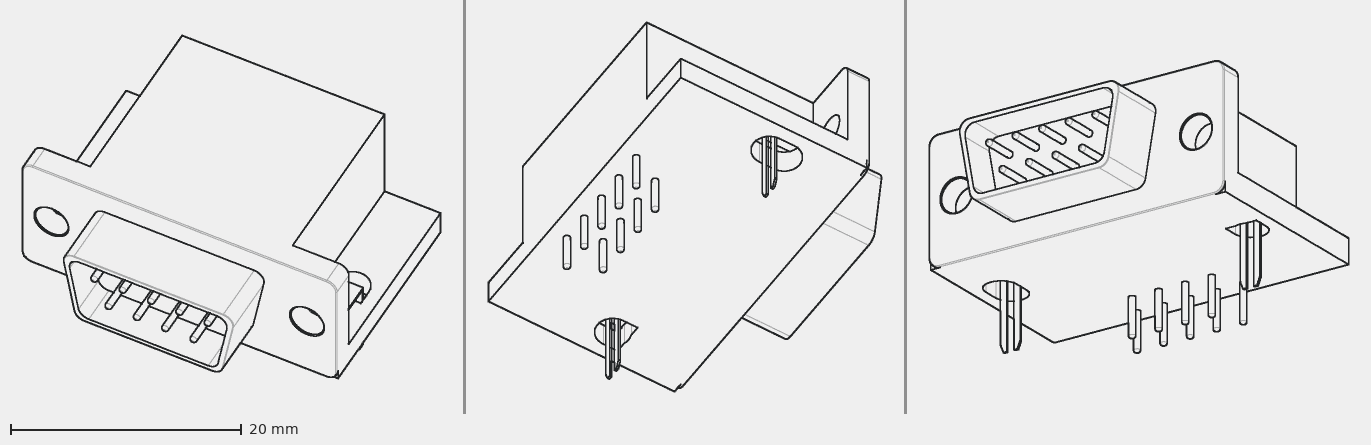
import cadquery as cq
import math

WIDTH = 30.75
HEIGHT = 12.5
DEPTH = 19.5
CENTER_Z = HEIGHT / 2

PLATE_THICKNESS = 0.3
FLANGE_DEPTH = 2.3
FLANGE_CORNER_RADIUS = 1.0
PLATE_EDGE_FILLET = 0.1
SCREW_SPACING = 25.0
SCREW_HOLE_DIAMETER = 3.2
SCREW_HOLE_CHAMFER = 0.1
SCREW_HOLE_CHAMFER_ANGLE = 45.0

BLOCK_WIDTH = 19.8
SHELF_HEIGHT = 2.5

SHELL_LENGTH = 5.8
SHELL_WIDTH = 16.6
SHELL_HEIGHT = 7.9
SHELL_SIDE_ANGLE = 10.0
SHELL_CORNER_RADIUS = 1.0
SHELL_WALL = 0.5
SHELL_RIM_FILLET = 0.05
INSULATOR_FACE_Y = -2.05

CONTACT_DIAMETER = 0.64
CONTACT_TIP_FILLET = 0.25
CONTACT_PITCH = 2.77
ROW_SPACING = 2.84
UPPER_ROW_COUNT = 5
LOWER_ROW_COUNT = 4
CONTACT_FRONT_Y = -5.5
TAIL_TIP_Z = -3.9
UPPER_ROW_TAIL_Y = 17.75
LOWER_ROW_TAIL_Y = UPPER_ROW_TAIL_Y - ROW_SPACING
CONTACT_EMBEDMENT = 1.0

STRAP_WIDTH = 2.05
STRAP_THICKNESS = 0.2
STRAP_FRONT_Y = 2.4
STRAP_REAR_Y = 8.6
STRAP_TOP_Z = 4.6
STRAP_BEND_RADIUS = 0.1
LEG_TIP_Z = -5.4
LEG_GAP = 0.75
LEG_TAPER_HEIGHT = 0.75
LEG_TAPER_WIDTH = 0.3
SLOT_WIDTH = 3.2
SLOT_REAR_CENTER_Y = 8.5
SLOT_FRONT_CENTER_Y = 7.0


def box_between(x_range, y_range, z_range):
    """Axis-aligned box spanning the given coordinate ranges."""
    size = [high - low for low, high in (x_range, y_range, z_range)]
    corner = (x_range[0], y_range[0], z_range[0])
    return cq.Workplane("XY").box(*size, centered=False).translate(corner)


def front_plane(y):
    """Sketch plane facing -Y, centred on the connector axis; extrusion runs toward -Y."""
    return cq.Workplane("XZ", origin=(0, y, CENTER_Z))


def make_housing():
    """Moulded block with a low shelf on both sides and a full-height flange at the front."""
    half_width = WIDTH / 2
    half_block = BLOCK_WIDTH / 2
    flange = box_between((-half_width, half_width), (PLATE_THICKNESS, FLANGE_DEPTH), (0, HEIGHT))
    flange = flange.edges("|Y and >Z").fillet(FLANGE_CORNER_RADIUS)
    shelf = box_between((-half_width, half_width), (PLATE_THICKNESS, DEPTH), (0, SHELF_HEIGHT))
    block = box_between((-half_block, half_block), (PLATE_THICKNESS, DEPTH), (0, HEIGHT))
    return flange.union(shelf).union(block)


def make_plate():
    """Front plate with four rounded corners and a softened front edge."""
    plate = front_plane(PLATE_THICKNESS).rect(WIDTH, HEIGHT).extrude(PLATE_THICKNESS)
    plate = plate.edges("|Y").fillet(FLANGE_CORNER_RADIUS)
    return plate.faces("<Y").edges().fillet(PLATE_EDGE_FILLET)


def make_screw_holes():
    """Cutters for the two chamfered holes through the flange."""
    radius = SCREW_HOLE_DIAMETER / 2
    centers = [(-SCREW_SPACING / 2, 0), (SCREW_SPACING / 2, 0)]
    bores = front_plane(FLANGE_DEPTH).pushPoints(centers).circle(radius).extrude(FLANGE_DEPTH)
    mouths = (
        front_plane(0).pushPoints(centers).circle(radius + SCREW_HOLE_CHAMFER)
        .extrude(-SCREW_HOLE_CHAMFER, taper=SCREW_HOLE_CHAMFER_ANGLE)
    )
    return bores.union(mouths)


def shell_prism(inset, length):
    """Rounded D-shaped prism reaching forward from the flange face."""
    slope = math.radians(SHELL_SIDE_ANGLE)
    half_height = SHELL_HEIGHT / 2 - inset
    corner_overhang = SHELL_CORNER_RADIUS * (math.tan(math.radians(45) + slope / 2) - 1)
    sharp_half_width = SHELL_WIDTH / 2 + corner_overhang
    mid_half_width = sharp_half_width - SHELL_HEIGHT / 2 * math.tan(slope) - inset / math.cos(slope)
    top_half_width = mid_half_width + half_height * math.tan(slope)
    bottom_half_width = mid_half_width - half_height * math.tan(slope)
    outline = [
        (-top_half_width, half_height),
        (top_half_width, half_height),
        (bottom_half_width, -half_height),
        (-bottom_half_width, -half_height),
    ]
    prism = front_plane(0).polyline(outline).close().extrude(length)
    return prism.edges("|Y").fillet(SHELL_CORNER_RADIUS)


def make_shell():
    """D-shaped shell around the contacts, hollow down to the insulator face."""
    outer = shell_prism(0, SHELL_LENGTH).faces("<Y").edges().fillet(SHELL_RIM_FILLET)
    insulator = shell_prism(0, -INSULATOR_FACE_Y)
    return outer.cut(shell_prism(SHELL_WALL, SHELL_LENGTH)).union(insulator)


def make_contact(x, front_z, tail_y):
    """Front pin and downward tail of one contact, both anchored in the housing."""
    radius = CONTACT_DIAMETER / 2
    pin_root_y = PLATE_THICKNESS + CONTACT_EMBEDMENT
    pin = (
        cq.Workplane("XZ", origin=(x, pin_root_y, front_z)).circle(radius)
        .extrude(pin_root_y - CONTACT_FRONT_Y)
        .faces("<Y").edges().fillet(CONTACT_TIP_FILLET)
    )
    tail = (
        cq.Workplane("XY", origin=(x, tail_y, TAIL_TIP_Z)).circle(radius)
        .extrude(CONTACT_EMBEDMENT - TAIL_TIP_Z)
        .faces("<Z").edges().fillet(CONTACT_TIP_FILLET)
    )
    return pin.union(tail)


def row_positions(count):
    """X positions of a centred contact row."""
    return [(index - (count - 1) / 2) * CONTACT_PITCH for index in range(count)]


def slot_cutter(x, rounded_front):
    """Shelf slot with a round rear end and a round or square front end."""
    radius = SLOT_WIDTH / 2
    ends_y = [SLOT_REAR_CENTER_Y]
    if rounded_front:
        ends_y.append(SLOT_FRONT_CENTER_Y)
    cutter = box_between(
        (x - radius, x + radius), (SLOT_FRONT_CENTER_Y, SLOT_REAR_CENTER_Y), (0, SHELF_HEIGHT)
    )
    for y in ends_y:
        cutter = cutter.union(cq.Workplane("XY", origin=(x, y, 0)).circle(radius).extrude(SHELF_HEIGHT))
    return cutter


def make_strap(x):
    """Bent metal strap: upright behind the flange, flat on the shelf, forked leg through the slot."""
    half_width = STRAP_WIDTH / 2
    half_gap = LEG_GAP / 2
    flat_top_z = SHELF_HEIGHT + STRAP_THICKNESS
    leg_front_y = STRAP_REAR_Y - STRAP_THICKNESS
    across = (x - half_width, x + half_width)

    upright_depth = (STRAP_FRONT_Y, STRAP_FRONT_Y + STRAP_THICKNESS)
    upright = box_between(across, upright_depth, (SHELF_HEIGHT, STRAP_TOP_Z))
    flat = box_between(across, (STRAP_FRONT_Y, STRAP_REAR_Y), (SHELF_HEIGHT, flat_top_z))
    flat = flat.edges("|X and >Y and >Z").fillet(STRAP_BEND_RADIUS)

    leg_outline = [
        (-half_width, SHELF_HEIGHT),
        (-half_width, LEG_TIP_Z + LEG_TAPER_HEIGHT),
        (-half_width + LEG_TAPER_WIDTH, LEG_TIP_Z),
        (-half_gap, LEG_TIP_Z),
        (-half_gap, SHELF_HEIGHT),
    ]
    half_leg = (
        cq.Workplane("XZ", origin=(0, STRAP_REAR_Y, 0)).polyline(leg_outline).close()
        .extrude(STRAP_REAR_Y - leg_front_y)
    )
    leg = half_leg.union(half_leg.mirror("YZ")).translate((x, 0, 0))
    return upright.union(flat).union(leg)


result = make_housing().union(make_plate()).cut(make_screw_holes()).union(make_shell())

for side in (-1, 1):
    strap_x = side * SCREW_SPACING / 2
    result = result.cut(slot_cutter(strap_x, rounded_front=side < 0)).union(make_strap(strap_x))

for contact_x in row_positions(UPPER_ROW_COUNT):
    result = result.union(make_contact(contact_x, CENTER_Z + ROW_SPACING / 2, UPPER_ROW_TAIL_Y))

for contact_x in row_positions(LOWER_ROW_COUNT):
    result = result.union(make_contact(contact_x, CENTER_Z - ROW_SPACING / 2, LOWER_ROW_TAIL_Y))